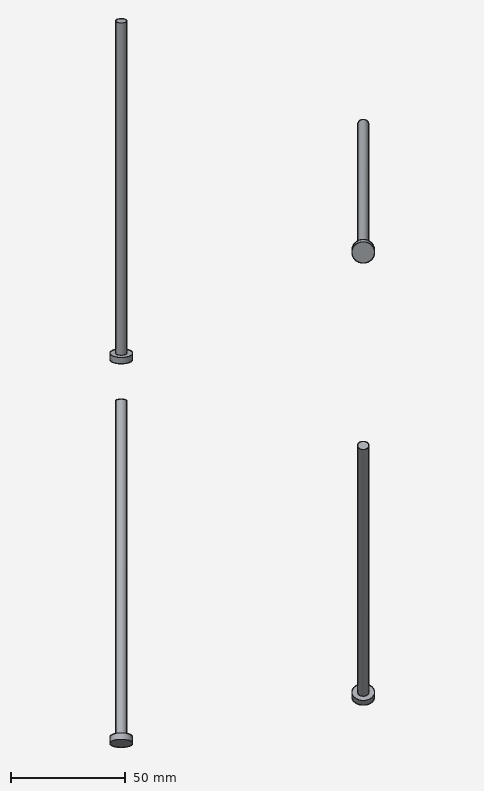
import cadquery as cq

total_length = 160.0
head_diameter = 10.0
head_height = 3.0
shank_diameter = 5.0

head = cq.Workplane("XY").circle(head_diameter / 2).extrude(head_height)
shank = cq.Workplane("XY").circle(shank_diameter / 2).extrude(total_length)

result = head.union(shank)